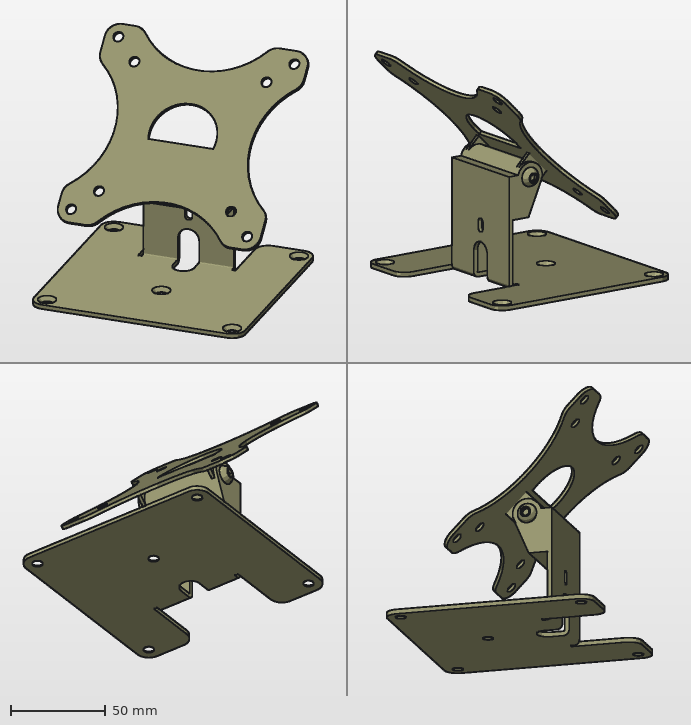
import cadquery as cq
import math

base_width = 120.0
base_depth = 115.0
base_thickness = 2.5
base_corner_radius = 7.5
screw_hole_diameter = 5.5
countersink_diameter = 10.0
countersink_angle = 90.0
centre_hole_y = -17.4

upright_width = 51.4
upright_back_y = 25.7
upright_top_z = 61.9
bend_inner_radius = 0.6
notch_width = 55.2
notch_front_y = 20.6
arch_width = 12.0
arch_top_z = 21.0
arch_front_y = 9.7
slot_width = 4.1
slot_height = 7.5
slot_centre_z = 30.1

plate_size = 115.0
plate_thickness = 2.0
plate_tilt = 45.0
plate_centre_y = 14.4
plate_top_z = 119.3
plate_corner_radius = 8.0
scallop_radius = 45.0
scallop_depth = 19.3
scallop_shift = 1.2
window_radius = 19.0
window_chord_v = -4.2
outer_hole_spacing = 100.0
inner_hole_spacing = 75.0

knuckle_radius = 8.0
pivot_below_centre = 15.0
pivot_behind_plate = 9.5
block_bottom_z = 37.8
block_bottom_front_y = 12.8
ear_thickness = 2.0
ear_inset = 2.0
ear_root_radius = 0.4

head_diameter = 10.5
head_height = 3.2
head_top_diameter = 5.5
socket_across_flats = 4.0
socket_depth = 1.8
socket_cone_depth = 1.1

tilt = math.radians(plate_tilt)
upright_front_y = upright_back_y - base_thickness
bend_outer_radius = bend_inner_radius + base_thickness
plate_centre_z = plate_top_z - plate_size / 2 * math.sin(tilt)
pivot_offset = plate_thickness + pivot_behind_plate
pivot_y = plate_centre_y - pivot_below_centre * math.cos(tilt) + pivot_offset * math.sin(tilt)
pivot_z = plate_centre_z - pivot_below_centre * math.sin(tilt) - pivot_offset * math.cos(tilt)


def along_x(start_x=0.0):
    """Sketch plane with local axes Y and Z, extruding toward +X."""
    return cq.Workplane("YZ", origin=(start_x, 0, 0))


def square_corners(spacing_x, spacing_y):
    return [(sx * spacing_x / 2, sy * spacing_y / 2) for sx in (-1, 1) for sy in (-1, 1)]


def make_base():
    base = cq.Workplane("XY").rect(base_width, base_depth).extrude(base_thickness)
    base = base.edges("|Z").fillet(base_corner_radius)

    notch_depth = base_depth / 2 - notch_front_y
    notch = (
        cq.Workplane("XY")
        .center(0, notch_front_y + notch_depth / 2)
        .rect(notch_width, notch_depth)
        .extrude(base_thickness)
    )
    base = base.cut(notch)
    lug_corners = cq.selectors.BoxSelector(
        (-notch_width / 2 - 1.2, base_depth / 2 - 1.2, -1.2),
        (notch_width / 2 + 1.2, base_depth / 2 + 1.2, base_thickness + 1.2),
    )
    base = base.edges("|Z").edges(lug_corners).fillet(base_corner_radius)

    hole_margin = 2 * base_corner_radius
    screw_holes = square_corners(base_width - hole_margin, base_depth - hole_margin)
    screw_holes.append((0, centre_hole_y))
    return (
        base.faces(">Z")
        .workplane(origin=(0, 0, base_thickness))
        .pushPoints(screw_holes)
        .cskHole(screw_hole_diameter, countersink_diameter, countersink_angle)
    )


def make_upright():
    bend_start_y = upright_back_y - bend_outer_radius
    bend_centre_z = bend_outer_radius
    diagonal = math.sqrt(0.5)
    outer_middle = (
        bend_start_y + bend_outer_radius * diagonal,
        bend_centre_z - bend_outer_radius * diagonal,
    )
    inner_middle = (
        bend_start_y + bend_inner_radius * diagonal,
        bend_centre_z - bend_inner_radius * diagonal,
    )
    strip = (
        along_x()
        .moveTo(notch_front_y, 0)
        .lineTo(bend_start_y, 0)
        .threePointArc(outer_middle, (upright_back_y, bend_centre_z))
        .lineTo(upright_back_y, upright_top_z)
        .lineTo(upright_front_y, upright_top_z)
        .lineTo(upright_front_y, bend_centre_z)
        .threePointArc(inner_middle, (bend_start_y, base_thickness))
        .lineTo(notch_front_y, base_thickness)
        .close()
        .extrude(upright_width / 2, both=True)
    )
    slot = (
        cq.Workplane("XZ", origin=(0, upright_back_y, 0))
        .center(0, slot_centre_z)
        .slot2D(slot_height, slot_width, 90)
        .extrude(base_thickness)
    )
    return strip.cut(slot)


def make_arch_opening():
    """Round-topped opening in the upright that runs on through the bend into the base."""
    radius = arch_width / 2
    through_upright = (
        cq.Workplane("XZ", origin=(0, upright_back_y, 0))
        .moveTo(-radius, 0)
        .lineTo(-radius, arch_top_z - radius)
        .threePointArc((0, arch_top_z), (radius, arch_top_z - radius))
        .lineTo(radius, 0)
        .close()
        .extrude(upright_back_y - notch_front_y)
    )
    through_base = (
        cq.Workplane("XY")
        .moveTo(-radius, upright_back_y)
        .lineTo(-radius, arch_front_y + radius)
        .threePointArc((0, arch_front_y), (radius, arch_front_y + radius))
        .lineTo(radius, upright_back_y)
        .close()
        .extrude(base_thickness)
    )
    return through_upright.union(through_base)


def make_hinge_block():
    """Block on the upright whose front flank runs tangent into the round knuckle."""
    to_corner_y = block_bottom_front_y - pivot_y
    to_corner_z = block_bottom_z - pivot_z
    corner_distance = math.hypot(to_corner_y, to_corner_z)
    tangent_angle = math.atan2(to_corner_z, to_corner_y) - math.acos(knuckle_radius / corner_distance)
    tangent_point = (
        pivot_y + knuckle_radius * math.cos(tangent_angle),
        pivot_z + knuckle_radius * math.sin(tangent_angle),
    )
    top_rise = upright_top_z - pivot_z
    knuckle_back = (pivot_y + math.sqrt(knuckle_radius**2 - top_rise**2), upright_top_z)
    return (
        along_x()
        .moveTo(upright_back_y, block_bottom_z)
        .lineTo(upright_back_y, upright_top_z)
        .lineTo(*knuckle_back)
        .threePointArc((pivot_y, pivot_z + knuckle_radius), tangent_point)
        .lineTo(block_bottom_front_y, block_bottom_z)
        .close()
        .extrude(upright_width / 2, both=True)
    )


def make_mounting_plate():
    """Tilted plate with scalloped sides; local x is X, local y runs up the slope."""
    half = plate_size / 2
    front_face = cq.Plane(
        origin=(0, plate_centre_y, plate_centre_z),
        xDir=(1, 0, 0),
        normal=(0, -math.sin(tilt), math.cos(tilt)),
    )
    plate = cq.Workplane(front_face).rect(plate_size, plate_size).extrude(-plate_thickness)
    scallop_distance = half - scallop_depth + scallop_radius
    scallop_centres = [
        (scallop_distance, scallop_shift),
        (-scallop_shift, scallop_distance),
        (-scallop_distance, -scallop_shift),
        (scallop_shift, -scallop_distance),
    ]
    scallops = (
        cq.Workplane(front_face).pushPoints(scallop_centres).circle(scallop_radius).extrude(-plate_thickness)
    )
    across_thickness = cq.selectors.ParallelDirSelector(front_face.zDir)
    plate = plate.cut(scallops).edges(across_thickness).fillet(plate_corner_radius)

    chord_half = math.sqrt(window_radius**2 - window_chord_v**2)
    window = (
        cq.Workplane(front_face)
        .moveTo(-chord_half, window_chord_v)
        .threePointArc((0, window_radius), (chord_half, window_chord_v))
        .close()
        .extrude(-plate_thickness)
    )
    holes = (
        cq.Workplane(front_face)
        .pushPoints(
            square_corners(outer_hole_spacing, outer_hole_spacing)
            + square_corners(inner_hole_spacing, inner_hole_spacing)
        )
        .circle(screw_hole_diameter / 2)
        .extrude(-plate_thickness)
    )
    return plate.cut(window).cut(holes)


def make_ear(inner_x):
    """Round-ended ear on the +X side, with a fillet where it leaves the back of the mounting plate."""
    tilted = cq.Plane(
        origin=(inner_x, pivot_y, pivot_z),
        xDir=(0, math.cos(tilt), math.sin(tilt)),
        normal=(1, 0, 0),
    )
    ear_outline = (
        cq.Workplane(tilted)
        .moveTo(-knuckle_radius, pivot_behind_plate)
        .lineTo(-knuckle_radius, 0)
        .threePointArc((0, -knuckle_radius), (knuckle_radius, 0))
        .lineTo(knuckle_radius, pivot_behind_plate)
        .close()
    )
    ear = ear_outline.extrude(ear_thickness)

    root_height = pivot_behind_plate - ear_root_radius / 2
    root = (
        cq.Workplane(tilted)
        .workplane(offset=ear_thickness + ear_root_radius / 2)
        .center(0, root_height)
        .rect(2 * knuckle_radius, ear_root_radius)
        .extrude(ear_root_radius / 2, both=True)
    )
    hollow = (
        cq.Workplane(tilted)
        .transformed(rotate=(0, 90, 0))
        .center(-ear_thickness - ear_root_radius, pivot_behind_plate - ear_root_radius)
        .circle(ear_root_radius)
        .extrude(knuckle_radius, both=True)
    )
    return ear.union(root.cut(hollow))


def make_screw_head():
    """Domed head on the +X flank of the hinge block, with a hexagonal socket."""
    rim = head_diameter / 2
    crown = head_top_diameter / 2
    centre_height = (crown**2 + head_height**2 - rim**2) / (2 * head_height)
    sphere_radius = math.hypot(rim, centre_height)
    middle_height = head_height / 2
    middle_radius = math.sqrt(sphere_radius**2 - (middle_height - centre_height) ** 2)
    head = (
        cq.Workplane("XY")
        .lineTo(0, rim)
        .threePointArc((middle_height, middle_radius), (head_height, crown))
        .lineTo(head_height, 0)
        .close()
        .revolve(360, (0, 0), (1, 0))
    )
    corner_diameter = socket_across_flats / math.cos(math.pi / 6)
    socket = (
        along_x(head_height)
        .transformed(rotate=(0, 0, 90))
        .polygon(6, corner_diameter)
        .extrude(-socket_depth)
    )
    socket_floor = head_height - socket_depth
    cone = cq.Solid.makeCone(
        socket_across_flats / 2,
        0,
        socket_cone_depth,
        pnt=cq.Vector(socket_floor, 0, 0),
        dir=cq.Vector(-1, 0, 0),
    )
    head = head.cut(socket).cut(cq.Workplane(cone))
    return head.translate((upright_width / 2, pivot_y, pivot_z))


bracket = make_base().union(make_upright()).cut(make_arch_opening())
bracket = bracket.union(make_hinge_block()).union(make_mounting_plate())

ear = make_ear(upright_width / 2 - ear_inset - ear_thickness)
screw_head = make_screw_head()
for hinge_side in (ear, screw_head):
    bracket = bracket.union(hinge_side).union(hinge_side.mirror("YZ"))

result = bracket